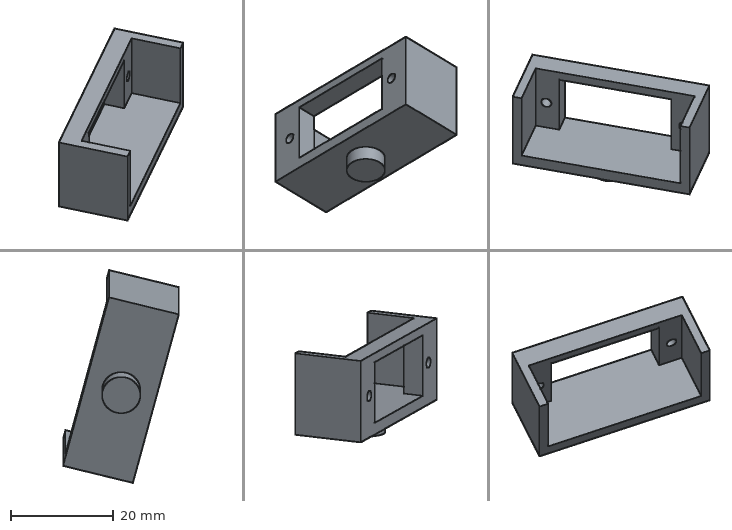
import cadquery as cq

depth = 14.1
width = 36.0
total_height = 19.45
pin_length = 2.95
body_height = total_height - pin_length

plate_thickness = 4.1
side_thickness = 1.85
floor_thickness = 2.38

window_width = 22.75
window_height = 12.28
screw_diameter = 2.0
screw_spacing = 28.0
screw_height = 8.45

pin_diameter = 7.5
pin_setback = 7.02


def body_shell():
    """Block hollowed out, leaving the plate, two side walls and the floor."""
    block = cq.Workplane("XY").box(depth, width, body_height, centered=(False, True, False))
    cavity = (
        cq.Workplane("XY")
        .box(depth, width - 2 * side_thickness, body_height, centered=(False, True, False))
        .translate((plate_thickness, 0, floor_thickness))
    )
    return block.cut(cavity)


def plate_window():
    """Rectangular opening whose sill is level with the floor."""
    return (
        cq.Workplane("XY")
        .box(plate_thickness, window_width, window_height, centered=(False, True, False))
        .translate((0, 0, floor_thickness))
    )


def screw_holes():
    """Two holes through the plate, one on each side of the window."""
    return (
        cq.Workplane("YZ")
        .pushPoints([(side * screw_spacing / 2, screw_height) for side in (-1, 1)])
        .circle(screw_diameter / 2)
        .extrude(plate_thickness)
    )


def pin():
    """Round pin hanging from the underside."""
    return cq.Workplane("XY").center(pin_setback, 0).circle(pin_diameter / 2).extrude(-pin_length)


result = body_shell().cut(plate_window()).cut(screw_holes()).union(pin())